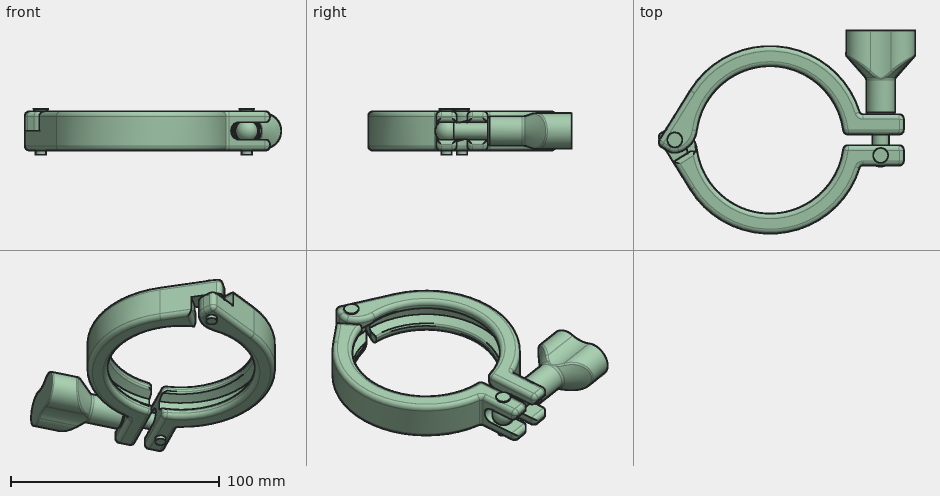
import cadquery as cq
import math

RING_OUTER_R = 45.0
RING_INNER_R = 35.3
HEIGHT = 19.0
EDGE_R = 2.3
CORNER_R = 2.5

GROOVE_R = 40.1
GROOVE_MOUTH = 10.0
GROOVE_ANGLE = 28
GROOVE_LIP_R = 1.2

HINGE_X = -45.6
BOSS_R = 6.3
HEEL_R = 12.8
HINGE_CLEARANCE = 8.6
HINGE_GAP = 5.5

LUG_END_X = 64.2
LUG_THICKNESS = 9.8
GAP = 5.0
LUG_ROOT_R = 1.5
SLOT_WIDTH = 8.2
SLOT_START_X = 45.5
SLOT_MOUTH_R = 2.3

PIN_R = 2.6
PIN_HEAD_R = 3.6
PIN_NECK_R = 3.0
PIN_HEAD_HEIGHT = 1.1
PIN_TAIL = 2.0

BOLT_X = 53.0
BOLT_R = 4.0
EYE_R = 5.4
NUT_NECK_R = 7.0
NUT_CHAMFER = 0.9
WING_CONE_Y = 29.5
WING_FULL_Y = 40.3
WING_END_Y = 52.6
WING_HALF_SPAN = 16.6
LOBE_R = 8.6
WAIST_HALF = 7.1
WING_EDGE_R = 1.2
FLARE_ROOT_R = 2.1
WING_END_R = 0.5

half_height = HEIGHT / 2
half_gap = GAP / 2
lug_back_y = half_gap + LUG_THICKNESS
lug_mid_y = half_gap + LUG_THICKNESS / 2

flank_angle = math.acos((RING_OUTER_R - BOSS_R) / HINGE_X)
normal = (math.cos(flank_angle), math.sin(flank_angle))
along = (normal[1], -normal[0])
hinge_along = HINGE_X * along[0]

bore_end = (math.sqrt(RING_INNER_R**2 - half_gap**2), half_gap)
lug_front = (LUG_END_X, half_gap)
lug_back = (LUG_END_X, lug_back_y)
lug_root = (math.sqrt(RING_OUTER_R**2 - lug_back_y**2), lug_back_y)
flank_top = (RING_OUTER_R * normal[0], RING_OUTER_R * normal[1])


def flank_point(distance_along, distance_out):
    """Point at the given distances from the ring axis, along and out of the flank."""
    return (
        distance_along * along[0] + distance_out * normal[0],
        distance_along * along[1] + distance_out * normal[1],
    )


def polar(center, radius, angle):
    return (center[0] + radius * math.cos(angle), center[1] + radius * math.sin(angle))


def start_outline():
    """Bore end, lug and outer arc of one half, ending at the top of the flank."""
    return (
        cq.Workplane("XY")
        .moveTo(*bore_end)
        .lineTo(*lug_front)
        .lineTo(*lug_back)
        .lineTo(*lug_root)
        .threePointArc((0, RING_OUTER_R), flank_top)
    )


def round_upright(body, corner, radius):
    """Round the upright edge that stands on the given corner of the outline."""
    reach = 0.1
    around = cq.selectors.BoxSelector(
        (corner[0] - reach, corner[1] - reach, -HEIGHT),
        (corner[0] + reach, corner[1] + reach, HEIGHT),
    )
    return body.edges("|Z").edges(around).fillet(radius)


def round_lug(body):
    for corner in (bore_end, lug_front, lug_back):
        body = round_upright(body, corner, CORNER_R)
    return round_upright(body, lug_root, LUG_ROOT_R)


def tab_layer():
    """Upper layer of a half, carrying the hinge tab."""
    heel_to_ring = RING_INNER_R + HEEL_R
    heel_to_pin = HEEL_R - BOSS_R
    heel_x = (HINGE_X**2 + heel_to_ring**2 - heel_to_pin**2) / (2 * HINGE_X)
    heel = (heel_x, math.sqrt(heel_to_ring**2 - heel_x**2))
    boss_to_heel = math.atan2(-heel[1], HINGE_X - heel[0])
    bore_to_heel = math.atan2(-heel[1], -heel[0])
    boss_start = math.atan2(-along[1], -along[0])
    hinge = (HINGE_X, 0)
    corner = flank_point(hinge_along - BOSS_R, RING_OUTER_R)

    body = (
        start_outline()
        .lineTo(*corner)
        .lineTo(*polar(hinge, BOSS_R, boss_start))
        .threePointArc(
            polar(hinge, BOSS_R, (boss_start + boss_to_heel) / 2),
            polar(hinge, BOSS_R, boss_to_heel),
        )
        .threePointArc(
            polar(heel, HEEL_R, (boss_to_heel + bore_to_heel) / 2),
            polar(heel, HEEL_R, bore_to_heel),
        )
        .threePointArc((0, RING_INNER_R), bore_end)
        .close()
        .extrude(half_height)
    )
    body = round_lug(round_upright(body, corner, CORNER_R))
    return body.faces(">Z").edges().fillet(EDGE_R)


def cut_back_layer():
    """Lower layer of a half, cut back to clear the other half's tab."""
    wall_along = hinge_along + HINGE_CLEARANCE
    wall_inner = math.sqrt(RING_INNER_R**2 - wall_along**2)
    body = (
        start_outline()
        .lineTo(*flank_point(wall_along, RING_OUTER_R))
        .lineTo(*flank_point(wall_along, wall_inner))
        .threePointArc((0, RING_INNER_R), bore_end)
        .close()
        .extrude(-half_height)
    )
    tip_trim = cq.Workplane("XY").box(RING_OUTER_R, 2 * HINGE_GAP, 2 * HEIGHT)
    tip_trim = tip_trim.translate((HINGE_X, 0, 0))
    return round_lug(body).faces("<Z").edges().fillet(EDGE_R).cut(tip_trim)


def groove():
    """Ring with sloping sides and rounded lips that opens the groove into the bore."""
    slope = math.radians(GROOVE_ANGLE)
    mouth_half = GROOVE_MOUTH / 2
    floor_half = mouth_half - (GROOVE_R - RING_INNER_R) * math.tan(slope)
    lip_reach = GROOVE_LIP_R * math.tan((math.pi / 2 - slope) / 2)
    lip_start = (
        RING_INNER_R + lip_reach * math.cos(slope),
        mouth_half - lip_reach * math.sin(slope),
    )
    lip_end = (RING_INNER_R, mouth_half + lip_reach)
    upper = (
        cq.Workplane("XZ")
        .lineTo(GROOVE_R, 0)
        .lineTo(GROOVE_R, floor_half)
        .lineTo(*lip_start)
        .tangentArcPoint(lip_end, relative=False)
        .lineTo(0, lip_end[1])
        .close()
        .revolve(360, (0, 0, 0), (0, 1, 0))
    )
    return upper.union(upper.mirror("XY"))


def bolt_slot():
    """Round-bottomed slot across the lug, with a rounded mouth at the lug end."""
    half_width = SLOT_WIDTH / 2
    bottom_x = SLOT_START_X + half_width
    flare_start_x = LUG_END_X - SLOT_MOUTH_R
    flare_z = half_width + SLOT_MOUTH_R
    return (
        cq.Workplane("XZ")
        .moveTo(bottom_x, -half_width)
        .threePointArc((SLOT_START_X, 0), (bottom_x, half_width))
        .lineTo(flare_start_x, half_width)
        .radiusArc((LUG_END_X, flare_z), -SLOT_MOUTH_R)
        .lineTo(LUG_END_X, -flare_z)
        .radiusArc((flare_start_x, -half_width), -SLOT_MOUTH_R)
        .close()
        .extrude(-2 * lug_back_y)
    )


def clamp_half():
    return tab_layer().union(cut_back_layer()).cut(groove()).cut(bolt_slot())


def pin(x, y):
    """Upright pin with a countersunk head on top and a plain tail below."""
    top = half_height + PIN_HEAD_HEIGHT
    return (
        cq.Workplane("XZ")
        .polyline([
            (0, -half_height - PIN_TAIL),
            (PIN_R, -half_height - PIN_TAIL),
            (PIN_R, half_height),
            (PIN_NECK_R, half_height),
            (PIN_HEAD_R, top),
            (0, top),
        ])
        .close()
        .revolve(360, (0, 0, 0), (0, 1, 0))
        .translate((x, y, 0))
    )


def swing_bolt():
    """Bolt whose ball-shaped eye is flattened to fit the slot."""
    shank = (
        cq.Workplane("XZ", origin=(0, -lug_mid_y, 0))
        .circle(BOLT_R)
        .extrude(-(WING_CONE_Y + lug_mid_y))
    )
    flats = cq.Workplane("XY").box(4 * EYE_R, 4 * EYE_R, SLOT_WIDTH)
    eye = cq.Workplane("XY").sphere(EYE_R).intersect(flats).translate((0, -lug_mid_y, 0))
    return shank.union(eye).translate((BOLT_X, 0, 0))


def wing_nut():
    """Round neck flaring into a two-lobed wing."""
    lobe_x = WING_HALF_SPAN - LOBE_R
    waist_r = (lobe_x**2 + WAIST_HALF**2 - LOBE_R**2) / (2 * (LOBE_R - WAIST_HALF))
    waist_z = WAIST_HALF + waist_r
    share = LOBE_R / (LOBE_R + waist_r)
    join = (lobe_x * (1 - share), waist_z * share)

    lobes = (
        cq.Workplane("XZ", origin=(0, lug_back_y, 0))
        .moveTo(-join[0], join[1])
        .threePointArc((0, WAIST_HALF), join)
        .threePointArc((WING_HALF_SPAN, 0), (join[0], -join[1]))
        .threePointArc((0, -WAIST_HALF), (-join[0], -join[1]))
        .threePointArc((-WING_HALF_SPAN, 0), (-join[0], join[1]))
        .close()
        .extrude(-(WING_END_Y - lug_back_y))
    )
    flare_slope = math.atan2(WING_FULL_Y - WING_CONE_Y, WING_HALF_SPAN - NUT_NECK_R)
    root_reach = FLARE_ROOT_R * math.tan((math.pi / 2 - flare_slope) / 2)
    root_end = (
        NUT_NECK_R + root_reach * math.cos(flare_slope),
        WING_CONE_Y + root_reach * math.sin(flare_slope),
    )
    turned = (
        cq.Workplane("XY")
        .moveTo(0, lug_back_y)
        .lineTo(NUT_NECK_R - NUT_CHAMFER, lug_back_y)
        .lineTo(NUT_NECK_R, lug_back_y + NUT_CHAMFER)
        .lineTo(NUT_NECK_R, WING_CONE_Y - root_reach)
        .tangentArcPoint(root_end, relative=False)
        .lineTo(WING_HALF_SPAN, WING_FULL_Y)
        .lineTo(WING_HALF_SPAN, WING_END_Y)
        .lineTo(0, WING_END_Y)
        .close()
        .revolve(360, (0, 0, 0), (0, 1, 0))
    )
    flare_edges = cq.selectors.BoxSelector(
        (-WING_HALF_SPAN, WING_CONE_Y, -LOBE_R), (WING_HALF_SPAN, WING_FULL_Y, LOBE_R)
    )
    nut = lobes.intersect(turned)
    nut = nut.edges(flare_edges).edges("not(|Y or %CIRCLE)").fillet(WING_EDGE_R)
    nut = nut.faces(">Y").edges().fillet(WING_END_R)
    return nut.translate((BOLT_X, 0, 0))


back_half = clamp_half()
front_half = back_half.rotate((0, 0, 0), (1, 0, 0), 180)

result = (
    back_half
    .union(front_half)
    .union(swing_bolt())
    .union(wing_nut())
    .union(pin(HINGE_X, 0))
    .union(pin(BOLT_X, -lug_mid_y))
)